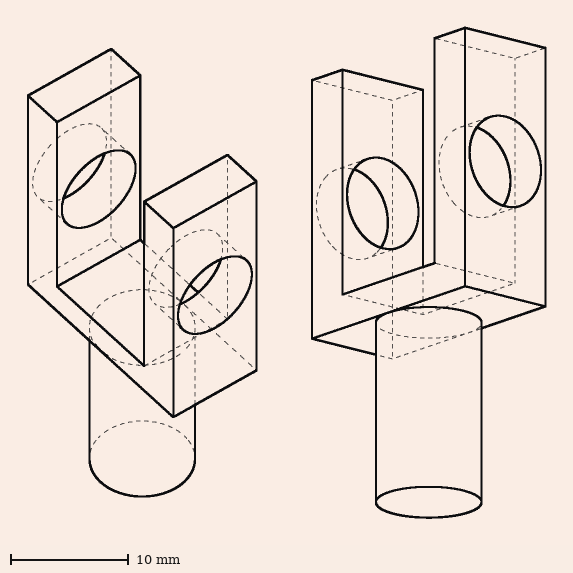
import cadquery as cq

fork_width = 20.05
depth = 9.0
total_height = 39.0
shank_length = 16.0
fork_height = total_height - shank_length
arm_thickness = 4.0
bridge_thickness = 3.0
slot_width = fork_width - 2 * arm_thickness
slot_depth = fork_height - bridge_thickness

shank_diameter = depth
pin_hole_diameter = 8.0
pin_hole_below_top = 11.0
pin_hole_height = total_height - pin_hole_below_top

shank = cq.Workplane("XY").circle(shank_diameter / 2).extrude(shank_length)

fork_block = (
    cq.Workplane("XY", origin=(0, 0, shank_length))
    .rect(fork_width, depth)
    .extrude(fork_height)
)
slot = (
    cq.Workplane("XY", origin=(0, 0, shank_length + bridge_thickness))
    .rect(slot_width, depth)
    .extrude(slot_depth)
)

pin_hole = (
    cq.Workplane("YZ", origin=(0, 0, pin_hole_height))
    .circle(pin_hole_diameter / 2)
    .extrude(fork_width / 2, both=True)
)

result = fork_block.cut(slot).cut(pin_hole).union(shank)